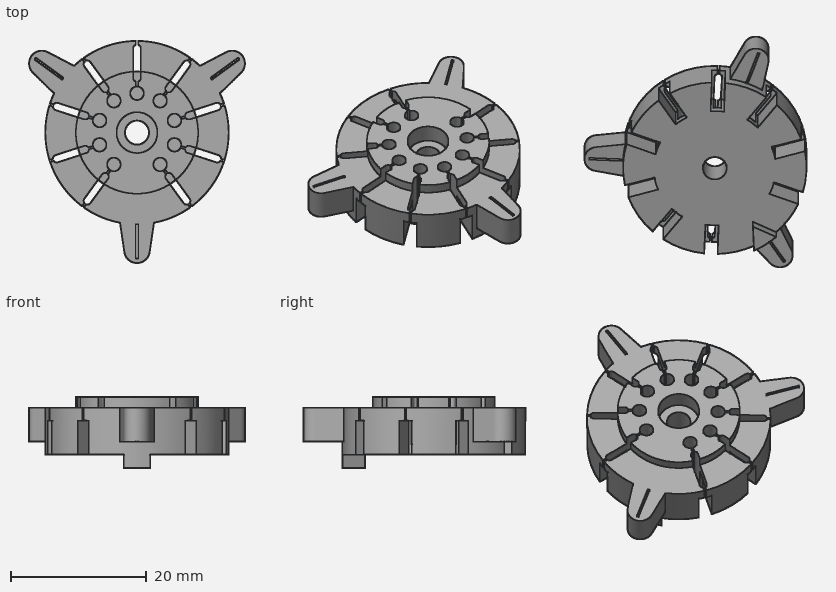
import cadquery as cq
import math

disc_radius = 13.5
disc_height = 6.9
hub_radius = 9.0
hub_height = 1.6
key_half_width = 1.95
key_apex_radius = 10.1
key_height = 2.0
top_z = disc_height + hub_height

bore_diameter = 3.5
counterbore_diameter = 6.0
counterbore_depth = 3.0

arm_angles = (-90, 36, 144)
arm_height = 5.0
overall_length = 32.7
arm_reach = overall_length - disc_radius
arm_tip_radius = 1.9
arm_tip_center = arm_reach - arm_tip_radius
arm_flank_angle = math.radians(8.4)
arm_slit_start = 13.47
arm_slit_end = 18.5
slit_width = 0.3

station_pitches = 10
station_pitch = 360 / station_pitches
station_angles = [-90 + station_pitch * i for i in range(1, station_pitches)]
contact_depth = 7.0
contact_floor_z = top_z - contact_depth
pin_circle_radius = 5.8
pin_hole_diameter = 2.0
pin_hole_depth = 7.68
channel_width = 1.08
channel_start = 7.45
channel_end = 12.95
notch_width = 1.95
notch_height = 5.0

cut_margin = 0.65


def cylinder(radius, bottom_z, height):
    return cq.Workplane("XY").workplane(offset=bottom_z).circle(radius).extrude(height)


def radial_bar(start, end, width, bottom_z, height):
    """Rectangular bar lying along +X between two radii."""
    length = end - start
    bar = cq.Workplane("XY").box(length, width, height, centered=(False, True, False))
    return bar.translate((start, 0, bottom_z))


def at_angle(shape, angle):
    return shape.rotate((0, 0, 0), (0, 0, 1), angle)


def make_arm():
    """Tapered arm along +X whose straight flanks run tangent to the round tip."""
    tangent_x = arm_tip_center + arm_tip_radius * math.sin(arm_flank_angle)
    tangent_y = arm_tip_radius * math.cos(arm_flank_angle)
    root_x = hub_radius
    root_y = tangent_y + (tangent_x - root_x) * math.tan(arm_flank_angle)
    return (
        cq.Workplane("XY")
        .workplane(offset=disc_height - arm_height)
        .moveTo(root_x, -root_y)
        .lineTo(tangent_x, -tangent_y)
        .threePointArc((arm_reach, 0), (tangent_x, tangent_y))
        .lineTo(root_x, root_y)
        .close()
        .extrude(arm_height)
    )


def make_key():
    """Wedge under the rim on the -Y side: its apex points inward and its outer face follows the rim."""
    flank_slope = key_half_width / (math.sqrt(disc_radius**2 - key_half_width**2) - key_apex_radius)
    outer_x = disc_radius + cut_margin
    outer_y = (outer_x - key_apex_radius) * flank_slope
    wedge = (
        cq.Workplane("XY")
        .workplane(offset=-key_height)
        .polyline([(key_apex_radius, 0), (outer_x, -outer_y), (outer_x, outer_y)])
        .close()
        .extrude(key_height)
    )
    return at_angle(wedge, -90).intersect(cylinder(disc_radius, -key_height, key_height))


def make_contact_cut():
    """Pin hole, round-ended channel, thin slit and rim notch of one station along +X."""
    pin_hole = cylinder(pin_hole_diameter / 2, top_z - pin_hole_depth, pin_hole_depth)
    pin_hole = pin_hole.translate((pin_circle_radius, 0, 0))
    channel = (
        cq.Workplane("XY")
        .workplane(offset=contact_floor_z)
        .center((channel_start + channel_end) / 2, 0)
        .slot2D(channel_end - channel_start, channel_width)
        .extrude(contact_depth)
    )
    slit_end = disc_radius + cut_margin
    slit = radial_bar(pin_circle_radius, slit_end, slit_width, contact_floor_z, contact_depth)
    notch = radial_bar(pin_circle_radius, slit_end, notch_width, 0, notch_height)
    notch = notch.cut(cylinder(hub_radius, 0, notch_height))
    return pin_hole.union(channel).union(slit).union(notch)


body = cylinder(disc_radius, 0, disc_height)
body = body.union(cylinder(hub_radius, disc_height, hub_height))
for angle in arm_angles:
    body = body.union(at_angle(make_arm(), angle))
body = body.union(make_key())

arm_slit = radial_bar(arm_slit_start, arm_slit_end, slit_width, disc_height - arm_height, arm_height)
for angle in arm_angles:
    body = body.cut(at_angle(arm_slit, angle))

contact_cut = make_contact_cut()
for angle in station_angles:
    body = body.cut(at_angle(contact_cut, angle))

body = body.cut(cylinder(bore_diameter / 2, 0, top_z))
body = body.cut(cylinder(counterbore_diameter / 2, top_z - counterbore_depth, counterbore_depth))

result = body